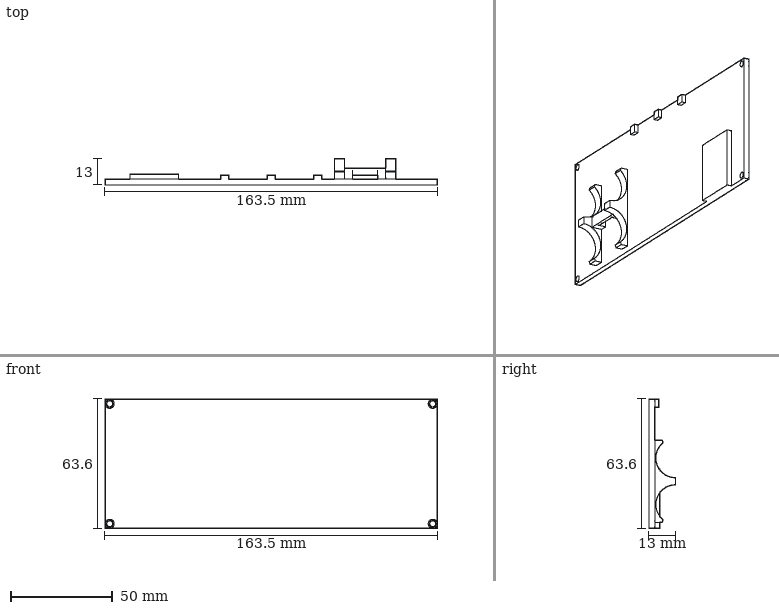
import cadquery as cq
import math

panel_length = 163.5
panel_height = 63.6
panel_thickness = 3.0

hole_diameter = 3.0
countersink_diameter = 4.4
countersink_angle = 90
hole_inset = 2.3

tab_width = 4.1
tab_height = 4.1
tab_top_y = 4.9
tab_spacing = 22.9

pad_left = 12.3
pad_width = 23.9
pad_height = 29.3
pad_top_y = 5.4

cradle_width = 5.0
cradle_left = 112.8
cradle_pitch = 25.2
cradle_mid_z = 23.2
seat_radius = 9.6
seat_offset = 11.5
post_top_y = 13.0
lip_top_y = 6.5
lip_tip_y = 7.0
cradle_half_height = 20.3
seat_axis_y = post_top_y
seat_floor_y = seat_axis_y - seat_radius

bridge_height = 5.5
bridge_top_y = 8.3
slot_width = 12.3
slot_mouth_y = 7.2
slot_throat_y = 4.7


def box(x, y, z, size_x, size_y, size_z):
    """Box whose smallest-coordinate corner is at (x, y, z)."""
    return cq.Workplane("XY").box(size_x, size_y, size_z, centered=False).translate((x, y, z))


def raised_block(x, z, width, height, top_y):
    """Block standing on the panel; it starts inside the panel so the two fuse."""
    return box(x, 0, z, width, top_y, height)


def rod(x, y, z, radius, length):
    """Cylinder along X starting at x."""
    return cq.Workplane("YZ").center(y, z).circle(radius).extrude(length).translate((x, 0, 0))


def make_panel():
    panel = box(0, 0, 0, panel_length, panel_thickness, panel_height)
    return (
        panel.faces("<Y").workplane(origin=(panel_length / 2, 0, panel_height / 2))
        .rect(panel_length - 2 * hole_inset, panel_height - 2 * hole_inset, forConstruction=True)
        .vertices()
        .cskHole(hole_diameter, countersink_diameter, countersink_angle)
    )


def make_tabs():
    tabs = cq.Workplane("XY")
    for step in (-1, 0, 1):
        left = panel_length / 2 + step * tab_spacing - tab_width / 2
        tabs = tabs.add(raised_block(left, panel_height - tab_height, tab_width, tab_height, tab_top_y))
    return tabs.combine()


def make_cradle(x):
    tip_reach = seat_offset + math.sqrt(seat_radius**2 - (seat_axis_y - lip_tip_y) ** 2)
    post_half_height = seat_offset - seat_radius

    def half_profile(side):
        """Half section from the middle of the post out to one lip."""
        points = [
            (0, 0),
            (post_top_y, 0),
            (post_top_y, post_half_height),
        ]
        points = [(y, cradle_mid_z + side * z) for y, z in points]
        return (
            cq.Workplane("YZ").polyline(points)
            .threePointArc(
                (seat_floor_y, cradle_mid_z + side * seat_offset),
                (lip_tip_y, cradle_mid_z + side * tip_reach),
            )
            .lineTo(lip_top_y, cradle_mid_z + side * cradle_half_height)
            .lineTo(0, cradle_mid_z + side * cradle_half_height)
            .close()
            .extrude(cradle_width)
        )

    return half_profile(1).union(half_profile(-1)).translate((x, 0, 0))


def make_bridge():
    left = cradle_left + cradle_width
    width = cradle_pitch - cradle_width
    bottom = cradle_mid_z - bridge_height / 2
    bridge = raised_block(left, bottom, width, bridge_height, bridge_top_y)

    slot_left = left + (width - slot_width) / 2
    slot_depth = slot_mouth_y - panel_thickness
    slot = box(slot_left, panel_thickness, bottom, slot_width, slot_depth, bridge_height)
    sag = slot_mouth_y - slot_throat_y
    ceiling_radius = (bridge_height**2 / 4 + sag**2) / (2 * sag)
    ceiling = rod(slot_left, slot_throat_y + ceiling_radius, cradle_mid_z, ceiling_radius, slot_width)
    return bridge.cut(slot.cut(ceiling))


result = make_panel().union(make_tabs())
result = result.union(raised_block(pad_left, 0, pad_width, pad_height, pad_top_y))
for index in range(2):
    result = result.union(make_cradle(cradle_left + index * cradle_pitch))
result = result.union(make_bridge())